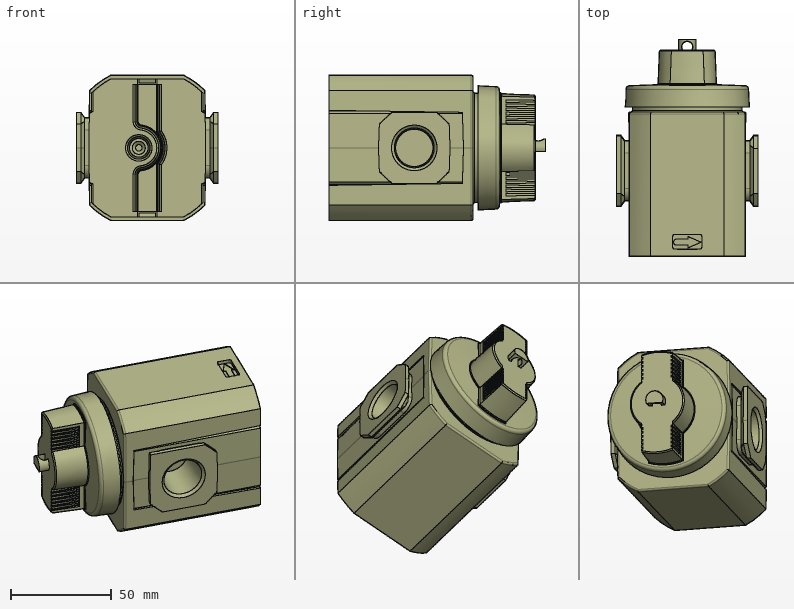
import cadquery as cq
import math


total_length = 107.5
port_span = 70.2
cover_height = 72.0

corner_radius = 40.3
cover_wall = 1.8
cover_rear = 71.5
cover_half_z = cover_height / 2
cover_side_x = 28.6
cover_ridge_x = 29.2
cover_edge_round = 1.0
cavity_side_x = 27.5
opening_front_half = 18.6
opening_rear_half = 17.6
opening_rear = 66.2
opening_rear_peak = 66.8
window_length = 14.4
window_width = 7.2
window_center_y = 7.2
window_corner = 0.9

core_side_x = 27.0
core_rear = cover_rear - cover_wall
pad_ridge_x = 28.9
pad_face_x = 28.7
pad_face_half = 17.0
pad_root_half = 18.2
neck_radius = 27.2
collar_radius = 28.0
collar_height = 0.8

port_y = 42.4
flange_half_z = 17.6
flange_half_y = 17.3
flange_peak_y = 17.7
flange_corner_y = 6.1
flange_corner_z = 5.8
slope_corner = 1.8
flange_thickness = 2.2
flange_slope = 1.9
port_neck_half = 14.9
port_neck_round = 6.1
port_mouth_radius = 11.3
port_bore_radius = 9.9
port_bore_end_radius = 9.2
port_mouth_depth = 1.4
port_bore_depth = 21.5

bore_x = -4.2
bore_mouth_radius = 6.6
bore_radius = 5.6
bore_end_radius = 4.6
bore_mouth_depth = 1.0
bore_depth = 16.1
seat_radius = 3.2
drain_radius = 1.6
seat_depth = 1.6
drain_depth = 5.4

channel_half_width = 7.0
channel_half_length = 31.5
channel_chamfer = 1.0
channel_depth = 15.0
channel_floor_chamfer = 0.5
channel_draft_inset = 1.9
boss_radius = 8.9
boss_blend_radius = 4.3
bulge_radius = 14.0
notch_half_width = 4.9
notch_depth = 3.4

hook_half_width = 4.0
hook_tip_z = 32.2
hook_front = 0.9
hook_ramp_end = 1.6
hook_rear = 3.0

arrow_height = 0.3
arrow_y = 7.0
arrow_tail_x = -6.8
arrow_neck_x = 0.4
arrow_tip_x = 6.9
arrow_shaft_half = 1.5
arrow_head_half = 2.8

knob_front = 74.0
ring_radius = 30.9
ring_top_radius = 30.4
ring_shoulder_y = 82.8
ring_round = 1.8
grip_base = 85.1
grip_top = 102.3
grip_bar_half = 8.5
grip_bar_reach = 27.0
grip_hub_radius = 14.5
grip_draft = 0.6
grip_top_chamfer = 0.6
grip_flare = 0.4
grip_root_depth = 1.1
groove_count = 6
groove_pitch = 2.0
groove_center_z = 18.1
groove_front = 87.8
groove_front_half = 0.6
groove_rear_half = 0.4
groove_floor_x = 7.2
tab_radius = 4.4
tab_bottom_z = -1.8
tab_hole_radius = 2.7
tab_hole_y = 103.8

cavity_half_z = cover_half_z - cover_wall
flat_half_x = math.sqrt(corner_radius**2 - cover_half_z**2)
cavity_radius = math.hypot(flat_half_x, cavity_half_z)
flange_inner_x = port_span / 2 - flange_thickness
port_neck_end_x = flange_inner_x - flange_slope


def arc_chord(radius, reach):
    """Half chord of a circle at a given distance from its centre."""
    return math.sqrt(radius**2 - reach**2)


def revolve_y(points, center_x=0.0):
    """Revolve (radius, y) points about the line parallel to Y through x = center_x."""
    profile = cq.Workplane("XY", origin=(center_x, 0, 0)).polyline(points).close()
    return profile.revolve(360, (0, 0, 0), (0, 1, 0))


def prism_y(front, rear, points):
    """Extrude an (x, z) polygon between two y values."""
    return cq.Workplane("XZ", origin=(0, front, 0)).polyline(points).close().extrude(front - rear)


def rounded_section(radius, half_z, side_x, ridge_x, length):
    """Flat top and bottom, corner arcs about the Y axis, and sides that peak at z = 0."""
    side_z = arc_chord(radius, side_x)
    middle = (math.atan2(half_z, flat_half_x) + math.atan2(side_z, side_x)) / 2
    mid_x = radius * math.cos(middle)
    mid_z = radius * math.sin(middle)
    return (
        cq.Workplane("XZ")
        .moveTo(-flat_half_x, half_z)
        .lineTo(flat_half_x, half_z)
        .threePointArc((mid_x, mid_z), (side_x, side_z))
        .lineTo(ridge_x, 0)
        .lineTo(side_x, -side_z)
        .threePointArc((mid_x, -mid_z), (flat_half_x, -half_z))
        .lineTo(-flat_half_x, -half_z)
        .threePointArc((-mid_x, -mid_z), (-side_x, -side_z))
        .lineTo(-ridge_x, 0)
        .lineTo(-side_x, side_z)
        .threePointArc((-mid_x, mid_z), (-flat_half_x, half_z))
        .close()
        .extrude(-length)
    )


def side_opening():
    """The strip, right across the part, that the cover leaves free for the port pads."""
    outline = [
        (0, opening_front_half),
        (opening_rear, opening_rear_half),
        (opening_rear_peak, 0),
        (opening_rear, -opening_rear_half),
        (0, -opening_front_half),
    ]
    return cq.Workplane("YZ").polyline(outline).close().extrude(port_span / 2, both=True)


def window_prism():
    """Cutter for the window in the cover's top wall."""
    return (
        cq.Workplane("XY", origin=(0, window_center_y, cavity_half_z))
        .rect(window_length, window_width)
        .extrude(cover_wall)
        .edges("|Z")
        .fillet(window_corner)
    )


def snap_hook(end):
    """Ramped hook on the cover's inner wall, on the side z * end > 0."""
    outline = [
        (hook_front, end * cavity_half_z),
        (hook_ramp_end, end * hook_tip_z),
        (hook_rear, end * hook_tip_z),
        (hook_rear, end * cavity_half_z),
    ]
    return cq.Workplane("YZ").polyline(outline).close().extrude(hook_half_width, both=True)


def make_cover():
    shell = rounded_section(corner_radius, cover_half_z, cover_side_x, cover_ridge_x, cover_rear)
    shell = shell.faces(">Y").edges().fillet(cover_edge_round)
    cavity = rounded_section(cavity_radius, cavity_half_z, cavity_side_x, cavity_side_x, core_rear)
    neck_hole = revolve_y([(0, 0), (neck_radius, 0), (neck_radius, cover_rear), (0, cover_rear)])
    cover = shell.cut(cavity).cut(neck_hole).cut(side_opening()).cut(window_prism())
    for end in (-1, 1):
        cover = cover.union(snap_hook(end))
    return cover


def port_pads():
    """Raised pads that fill the cover openings, with sloped flanks."""
    half_profile = [
        (core_side_x, pad_root_half),
        (pad_face_x, pad_face_half),
        (pad_ridge_x, 0),
        (pad_face_x, -pad_face_half),
        (core_side_x, -pad_root_half),
    ]
    opposite = [(-x, -z) for x, z in half_profile]
    return prism_y(0, opening_rear_peak, half_profile + opposite).intersect(side_opening())


def neck():
    return revolve_y([
        (0, core_rear),
        (neck_radius, core_rear),
        (neck_radius, cover_rear),
        (collar_radius, cover_rear),
        (neck_radius, cover_rear + collar_height),
        (neck_radius, knob_front),
        (0, knob_front),
    ])


def flange_wire(x, inset, corner_y, corner_z, square_corner):
    """Flange outline with its corners cut off; one rear top corner may be left square."""
    half_y = flange_half_y - inset
    half_z = flange_half_z - inset
    peak_y = flange_peak_y - inset
    cut_y = half_y - corner_y
    cut_z = half_z - corner_z
    points = [(peak_y, 0), (half_y, -cut_z), (cut_y, -half_z), (-cut_y, -half_z)]
    points += [(-half_y, -cut_z), (-peak_y, 0), (-half_y, cut_z), (-cut_y, half_z)]
    points += [(half_y, half_z)] if square_corner else [(cut_y, half_z), (half_y, cut_z)]
    corners = [cq.Vector(x, port_y + y, z) for y, z in points]
    return cq.Wire.makePolygon(corners, close=True)


def port(side):
    """Flanged port on the side x * side > 0; the -X flange has a square rear top corner."""
    square_corner = side < 0
    neck_block = (
        cq.Workplane("YZ", origin=(0, port_y, 0))
        .rect(2 * port_neck_half, 2 * port_neck_half)
        .extrude(side * flange_inner_x)
        .edges("|X")
        .fillet(port_neck_round)
    )
    edge = flange_wire(side * flange_inner_x, 0, flange_corner_y, flange_corner_z, square_corner)
    outer_edge = flange_wire(side * port_span / 2, 0, flange_corner_y, flange_corner_z, square_corner)
    root_inset = flange_half_z - port_neck_half
    root = flange_wire(side * port_neck_end_x, root_inset, slope_corner, slope_corner, square_corner)
    plate = cq.Solid.makeLoft([edge, outer_edge], True)
    slope = cq.Solid.makeLoft([root, edge], True)
    return neck_block.union(cq.Workplane(plate)).union(cq.Workplane(slope))


def port_bore(side):
    outer = port_span / 2
    profile = [
        (outer, 0),
        (outer, port_mouth_radius),
        (outer - port_mouth_depth, port_bore_radius),
        (outer - port_bore_depth, port_bore_end_radius),
        (outer - port_bore_depth, 0),
    ]
    half_section = [(side * x, radius) for x, radius in profile]
    outline = cq.Workplane("XY", origin=(0, port_y, 0)).polyline(half_section).close()
    return outline.revolve(360, (0, 0, 0), (1, 0, 0))


def front_bore():
    profile = [
        (0, 0),
        (bore_mouth_radius, 0),
        (bore_radius, bore_mouth_depth),
        (bore_end_radius, bore_depth),
        (seat_radius, bore_depth),
        (drain_radius, bore_depth + seat_depth),
        (drain_radius, bore_depth + drain_depth),
        (0, bore_depth + drain_depth),
    ]
    return revolve_y(profile, bore_x)


def channel_wire(depth, inset):
    """Channel outline at a depth, with every wall moved inwards by the inset."""
    wall = channel_half_width - inset
    end = channel_half_length
    boss = boss_radius + inset
    bulge = bulge_radius - inset
    blend = boss_blend_radius - inset
    bulge_z = arc_chord(bulge, wall - bore_x)
    blend_x = boss_blend_radius - channel_half_width
    blend_z = arc_chord(boss_radius + boss_blend_radius, blend_x - bore_x)
    boss_angle = math.atan2(blend_z, blend_x - bore_x)
    touch_x = bore_x + boss * math.cos(boss_angle)
    touch_z = boss * math.sin(boss_angle)
    blend_angle = math.pi + boss_angle / 2
    blend_mid_x = blend_x + blend * math.cos(blend_angle)
    blend_mid_z = blend_z + blend * math.sin(blend_angle)
    return (
        cq.Workplane("XZ", origin=(0, depth, 0))
        .moveTo(-wall, end)
        .lineTo(wall, end)
        .lineTo(wall, bulge_z)
        .threePointArc((bore_x + bulge, 0), (wall, -bulge_z))
        .lineTo(wall, -end)
        .lineTo(-wall, -end)
        .lineTo(-wall, -blend_z)
        .threePointArc((blend_mid_x, -blend_mid_z), (touch_x, -touch_z))
        .threePointArc((bore_x + boss, 0), (touch_x, touch_z))
        .threePointArc((blend_mid_x, blend_mid_z), (-wall, blend_z))
        .close()
        .val()
    )


def front_channel():
    mouth = channel_wire(0, 0)
    shoulder = channel_wire(channel_chamfer, channel_chamfer)
    foot = channel_wire(channel_depth - channel_floor_chamfer, channel_draft_inset)
    floor = channel_wire(channel_depth, channel_draft_inset + channel_floor_chamfer)
    channel = cq.Workplane(cq.Solid.makeLoft([mouth, shoulder], True))
    for upper, lower in ((shoulder, foot), (foot, floor)):
        channel = channel.union(cq.Workplane(cq.Solid.makeLoft([upper, lower], True)))
    notches = cq.Workplane("XY").box(
        2 * notch_half_width, notch_depth, 2 * cavity_half_z, centered=(True, False, True)
    )
    middle = cq.Workplane("XY").box(
        2 * channel_half_width, notch_depth, 2 * channel_half_length, centered=(True, False, True)
    )
    return channel.union(notches.cut(middle))


def arrow():
    shaft_start = arrow_tail_x + arrow_shaft_half
    return (
        cq.Workplane("XY", origin=(0, arrow_y, cavity_half_z))
        .moveTo(shaft_start, arrow_shaft_half)
        .lineTo(arrow_neck_x, arrow_shaft_half)
        .lineTo(arrow_neck_x, arrow_head_half)
        .lineTo(arrow_tip_x, 0)
        .lineTo(arrow_neck_x, -arrow_head_half)
        .lineTo(arrow_neck_x, -arrow_shaft_half)
        .lineTo(shaft_start, -arrow_shaft_half)
        .threePointArc((arrow_tail_x, 0), (shaft_start, arrow_shaft_half))
        .close()
        .extrude(arrow_height)
    )


def make_core():
    core = rounded_section(cavity_radius, cavity_half_z, core_side_x, core_side_x, core_rear)
    core = core.union(port_pads()).union(neck()).union(arrow())
    for side in (-1, 1):
        core = core.union(port(side))
    for side in (-1, 1):
        core = core.cut(port_bore(side))
    return core.cut(front_channel()).cut(front_bore())


def knob_ring():
    rim_y = ring_shoulder_y + ring_round
    rim_radius = ring_top_radius - ring_round
    round_mid = ring_round * math.sqrt(0.5)
    return (
        cq.Workplane("XY")
        .moveTo(0, knob_front)
        .lineTo(ring_radius, knob_front)
        .lineTo(ring_top_radius, ring_shoulder_y)
        .threePointArc((rim_radius + round_mid, ring_shoulder_y + round_mid), (rim_radius, rim_y))
        .lineTo(grip_hub_radius, grip_base)
        .lineTo(0, grip_base)
        .close()
        .revolve(360, (0, 0, 0), (0, 1, 0))
    )


def drafted_cone(radius):
    root = grip_base - grip_root_depth
    top_radius = radius - grip_draft
    return revolve_y([
        (0, root),
        (radius + grip_flare, root),
        (radius + grip_flare, grip_base),
        (radius, grip_base + grip_flare),
        (top_radius, grip_top - grip_top_chamfer),
        (top_radius - grip_top_chamfer, grip_top),
        (0, grip_top),
    ])


def grip_bar():
    root = grip_base - grip_root_depth
    foot_half = grip_bar_half + grip_flare
    top_half = grip_bar_half - grip_draft
    outline = [
        (-foot_half, root),
        (foot_half, root),
        (foot_half, grip_base),
        (grip_bar_half, grip_base + grip_flare),
        (top_half, grip_top),
        (-top_half, grip_top),
        (-grip_bar_half, grip_base + grip_flare),
        (-foot_half, grip_base),
    ]
    slab = cq.Workplane("XY").polyline(outline).close().extrude(grip_bar_reach + grip_flare, both=True)
    return slab.intersect(drafted_cone(grip_bar_reach))


def grip_grooves():
    """Cutters for grooves that narrow towards the rear, on both flat faces of the grip bar."""
    blank_outline = [
        (groove_front, groove_front_half),
        (grip_top, groove_rear_half),
        (grip_top, -groove_rear_half),
        (groove_front, -groove_front_half),
    ]
    grooves = cq.Workplane("XY")
    for side in (-1, 1):
        floor = cq.Workplane("YZ", origin=(side * groove_floor_x, 0, 0))
        blank = floor.polyline(blank_outline).close().extrude(side * grip_bar_half)
        for end in (-1, 1):
            for index in range(groove_count):
                z = end * groove_center_z + (index - (groove_count - 1) / 2) * groove_pitch
                grooves = grooves.add(blank.translate((0, 0, z)))
    return grooves.combine()


def lock_tab():
    """Round tab with a flat underside and a cross hole along Z."""
    tab = revolve_y([
        (0, grip_base),
        (tab_radius, grip_base),
        (tab_radius, total_length),
        (0, total_length),
    ])
    underside = cq.Workplane("XY", origin=(0, total_length, tab_bottom_z)).rect(
        4 * tab_radius, 2 * (total_length - grip_top)
    )
    hole = (
        cq.Workplane("XY", origin=(0, tab_hole_y, -tab_radius))
        .circle(tab_hole_radius)
        .extrude(2 * tab_radius)
    )
    return tab.cut(underside.extrude(-tab_radius)).cut(hole)


def make_knob():
    knob = knob_ring().union(grip_bar()).union(drafted_cone(grip_hub_radius))
    return knob.cut(grip_grooves()).union(lock_tab())


cover = make_cover()
core = make_core()
knob = make_knob()

result = cq.Compound.makeCompound([cover.solids().val(), core.solids().val(), knob.solids().val()])